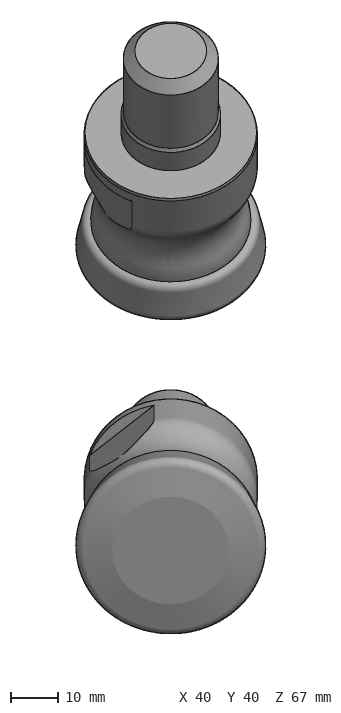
import cadquery as cq
import math

total_height = 67.0
pad_height = 11.05
collar_top = 40.05
shoulder_top = 46.9

underside_radius = 12.25
rim_radius = 20.3
rim_height = 1.55
pad_top_radius = 18.55
rim_round = 1.75
pad_top_round = 1.6

base_radius = 33.8 / 2
waist_radius = 15.3
waist_curve = 12.45
waist_upper_angle = math.radians(33.5)
waist_lower_angle = math.radians(22.5)

waist_lower_widening = waist_curve * (1 - math.cos(waist_lower_angle))
base_curve = (base_radius - waist_radius - waist_lower_widening) / (1 - math.cos(waist_lower_angle))
waist_height = pad_height + (base_curve + waist_curve) * math.sin(waist_lower_angle)

collar_radius = 36.5 / 2
collar_edge_width = 0.2
collar_edge_height = 0.6
flat_distance = 15.95
flat_top = 36.9

shoulder_radius = 21.0 / 2
shoulder_edge_height = 0.8
stud_radius = 20.0 / 2
tip_chamfer = 2.5


def waist_point(angle):
    """Point on the concave arc, at an angle above (+) or below (-) the narrowest level."""
    radius = waist_radius + waist_curve * (1 - math.cos(angle))
    height = waist_height + waist_curve * math.sin(angle)
    return radius, height


def arc_to_vertical(start, slope, outer_radius, direction):
    """Middle and end of a convex arc that leaves start tangentially and ends vertical at outer_radius."""
    arc_radius = (outer_radius - start[0]) / (1 - math.cos(slope))
    center_radius = outer_radius - arc_radius
    end_height = start[1] + direction * arc_radius * math.sin(slope)
    middle = (
        center_radius + arc_radius * math.cos(slope / 2),
        end_height - direction * arc_radius * math.sin(slope / 2),
    )
    return middle, (outer_radius, end_height)


def make_pad():
    """Solid foot pad with a conical side, a shallow conical underside and rounded edges."""
    profile = [
        (0, 0),
        (underside_radius, 0),
        (rim_radius, rim_height),
        (pad_top_radius, pad_height),
        (0, pad_height),
    ]
    pad = cq.Workplane("XZ").polyline(profile).close().revolve(360, (0, 0), (0, 1))
    pad = pad.faces(">Z").edges().fillet(pad_top_round)
    rim_edge = cq.selectors.BoxSelector(
        (-2 * rim_radius, -2 * rim_radius, rim_height / 2),
        (2 * rim_radius, 2 * rim_radius, pad_height / 2),
        boundingbox=True,
    )
    return pad.edges("%CIRCLE").edges(rim_edge).fillet(rim_round)


def make_turned_stem():
    """Stem turned about Z: waist, collar, shoulder and stud."""
    waist_bottom = waist_point(-waist_lower_angle)
    waist_top = waist_point(waist_upper_angle)
    base_middle, base_bottom = arc_to_vertical(waist_bottom, waist_lower_angle, base_radius, -1)
    collar_middle, collar_bottom = arc_to_vertical(waist_top, waist_upper_angle, collar_radius, 1)
    return (
        cq.Workplane("XZ")
        .moveTo(0, pad_height)
        .lineTo(*base_bottom)
        .threePointArc(base_middle, waist_bottom)
        .threePointArc((waist_radius, waist_height), waist_top)
        .threePointArc(collar_middle, collar_bottom)
        .lineTo(collar_radius, collar_top - collar_edge_height)
        .lineTo(collar_radius - collar_edge_width, collar_top)
        .lineTo(shoulder_radius, collar_top)
        .lineTo(shoulder_radius, shoulder_top - shoulder_edge_height)
        .lineTo(stud_radius, shoulder_top)
        .lineTo(stud_radius, total_height - tip_chamfer)
        .lineTo(stud_radius - tip_chamfer, total_height)
        .lineTo(0, total_height)
        .close()
        .revolve(360, (0, 0), (0, 1))
    )


def cut_wrench_flats(body):
    """Cut two opposite flats, facing -Y and +Y, from the rim of the collar down to the waist."""
    cutter_depth = collar_radius
    for side in (-1, 1):
        cutter = cq.Workplane("XY").box(
            2 * collar_radius, cutter_depth, flat_top - waist_height
        ).translate((0, side * (flat_distance + cutter_depth / 2), (flat_top + waist_height) / 2))
        body = body.cut(cutter)
    return body


pad = make_pad()
stem = cut_wrench_flats(make_turned_stem())

result = cq.Compound.makeCompound([pad.val(), stem.val()])